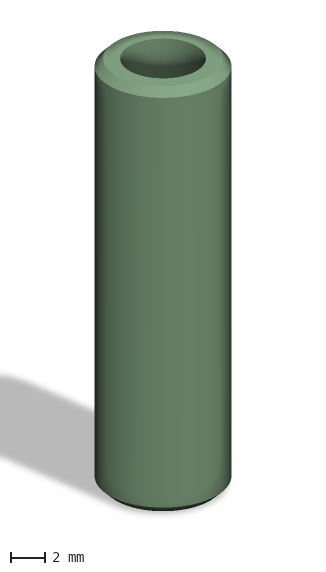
import cadquery as cq

length = 28.0
outer_diameter = 8.0
bore_diameter = 5.0
end_chamfer = 0.5

pin = cq.Workplane("XY").circle(outer_diameter / 2).extrude(length)
pin = pin.edges("%CIRCLE").chamfer(end_chamfer)

result = pin.faces(">Z").workplane().hole(bore_diameter)